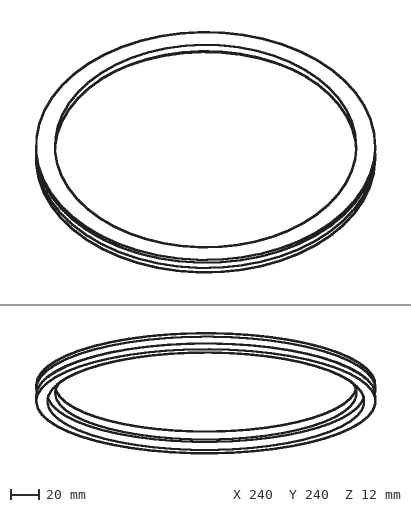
import cadquery as cq

outer_radius = 120.0
bore_radius = 106.5
height = 12.0

recess_radius = 112.0
recess_height = 6.0

groove_bottom_edge = 4.3
groove_top_edge = 9.4
groove_depth = 2.5
groove_middle = (groove_bottom_edge + groove_top_edge) / 2

profile = (
    cq.Workplane("XZ")
    .moveTo(recess_radius, 0)
    .lineTo(outer_radius, 0)
    .lineTo(outer_radius, groove_bottom_edge)
    .threePointArc(
        (outer_radius - groove_depth, groove_middle),
        (outer_radius, groove_top_edge),
    )
    .lineTo(outer_radius, height)
    .lineTo(bore_radius, height)
    .lineTo(bore_radius, recess_height)
    .lineTo(recess_radius, recess_height)
    .close()
)

result = profile.revolve(360, (0, 0, 0), (0, 1, 0))